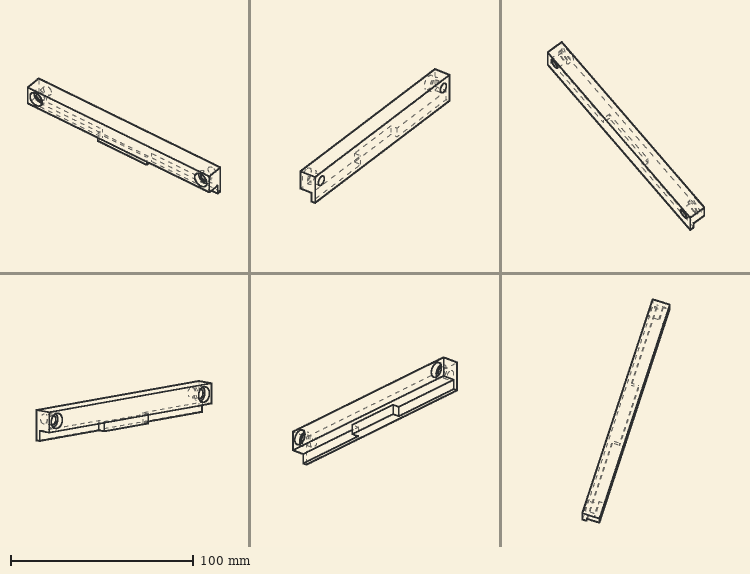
import cadquery as cq

length = 126.0
depth = 10.0
height = 17.0

step_height = 5.7
lip_thickness = 2.5
tab_width = 34.0
tab_thickness = 4.2

hole_diameter = 5.5
counterbore_diameter = 8.5
counterbore_depth = 3.5
hole_end_distance = 5.9
hole_top_distance = 5.5


def box_between(x_start, x_end, y_start, y_end, z_start, z_end):
    size = (x_end - x_start, y_end - y_start, z_end - z_start)
    return cq.Workplane("XY").box(*size, centered=False).translate((x_start, y_start, z_start))


half_length = length / 2
lip_front = depth - lip_thickness
tab_front = lip_front - tab_thickness

main_bar = box_between(-half_length, half_length, 0, depth, step_height, height)
rear_lip = box_between(-half_length, half_length, lip_front, depth, 0, step_height)
tab = box_between(-tab_width / 2, tab_width / 2, tab_front, lip_front, 0, step_height)
body = main_bar.union(rear_lip).union(tab)

hole_x = half_length - hole_end_distance
hole_z = height - hole_top_distance
result = (
    body.faces("<Y")
    .workplane(origin=(0, 0, 0))
    .pushPoints([(-hole_x, hole_z), (hole_x, hole_z)])
    .cboreHole(hole_diameter, counterbore_diameter, counterbore_depth)
)